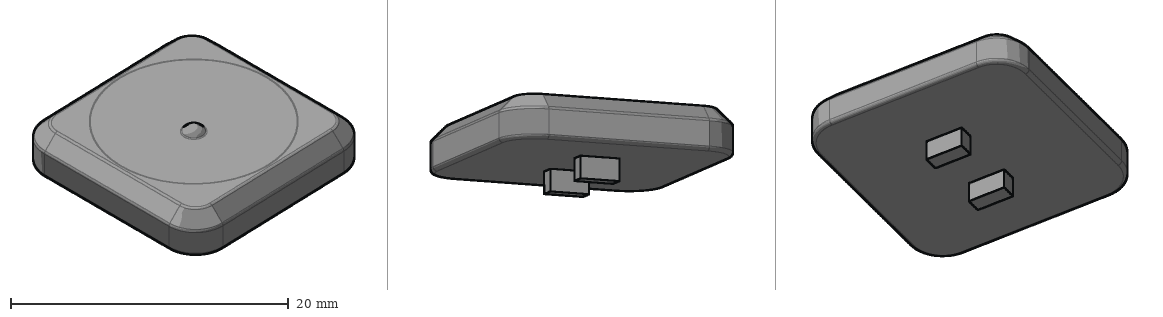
import cadquery as cq

cap_side = 18.0
cap_height = 3.5
corner_radius = 2.75
top_chamfer = 1.2
edge_radius = 0.3

dish_rim_radius = 7.49
dish_depth = 0.9
nub_sphere_radius = 1.0
nub_base_radius = 0.1
nub_tip_below_top = 0.35

leg_width = 3.0
leg_thickness = 1.2
leg_length = 1.65
leg_spacing = 5.72


def ball(radius, center_z):
    return cq.Workplane("XY").sphere(radius).translate((0, 0, center_z))


def cap_body():
    """Rounded square block with a chamfered top; its underside is at Z = 0."""
    block = cq.Workplane("XY").box(cap_side, cap_side, cap_height, centered=(True, True, False))
    block = block.edges("|Z").fillet(corner_radius)
    block = block.faces(">Z").chamfer(top_chamfer)
    return block.edges("|X or |Y").fillet(edge_radius)


def around_axis(height):
    """Select the circles centred on the Z axis within an edge radius of the given height."""
    return cq.selectors.BoxSelector(
        (-edge_radius, -edge_radius, height - edge_radius),
        (edge_radius, edge_radius, height + edge_radius),
    )


def cut_dish(body):
    """Sink the spherical dish, leaving the nub standing on its floor."""
    sphere_radius = (dish_rim_radius**2 + dish_depth**2) / (2 * dish_depth)
    dish = ball(sphere_radius, cap_height - dish_depth + sphere_radius)
    nub = ball(nub_sphere_radius, cap_height - nub_tip_below_top - nub_sphere_radius)
    dished = body.cut(dish.cut(nub))
    rounded = dished.edges(around_axis(cap_height)).fillet(edge_radius)
    return rounded.edges(around_axis(cap_height - dish_depth)).fillet(nub_base_radius)


def legs():
    leg_places = [(0, -leg_spacing / 2), (0, leg_spacing / 2)]
    return cq.Workplane("XY").pushPoints(leg_places).rect(leg_width, leg_thickness).extrude(-leg_length)


result = cut_dish(cap_body()).union(legs())